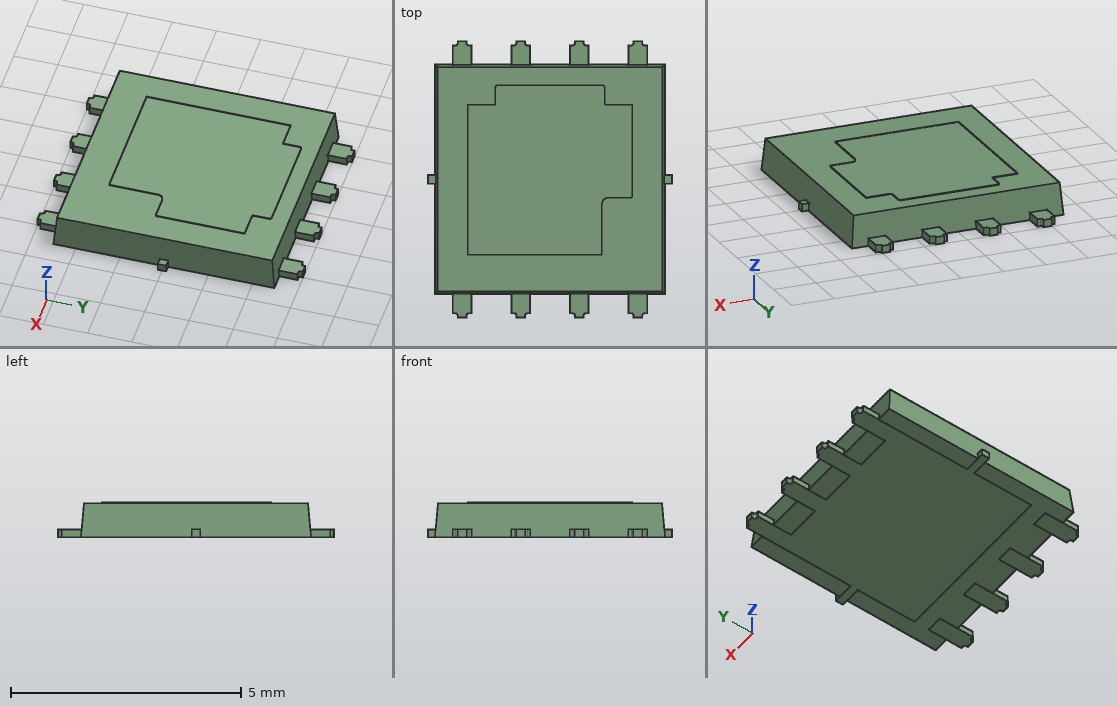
import cadquery as cq


overall_x = 5.3
overall_y = 6.0
overall_z = 0.76

housing_side = 5.0
housing_draft = 5.0
plate_height = 0.02
housing_height = overall_z - plate_height

plate_half_width = 1.79
plate_back_y = 2.045
plate_shoulder_y = 1.62
plate_front_y = -1.64
back_tab_half_width = 1.19
gate_notch_x = 1.13
gate_notch_y = -0.395
gate_notch_radius = 0.145
plate_corner_radius = 0.06
small_corner_radius = 0.035

metal_thickness = 0.175
lead_count = 4
lead_pitch = 1.27
lead_half_width = 0.205
lead_tip_half_width = 0.095
lead_tip_length = 0.09
lead_tip_fillet = 0.05
lead_embed = 0.48
tie_bar_width = 0.19

lead_end_y = overall_y / 2
lead_root_y = housing_side / 2 - lead_embed
lead_centres = [(i - (lead_count - 1) / 2) * lead_pitch for i in range(lead_count)]
pad_half_width = lead_centres[-1] + lead_half_width


def lead(centre_x):
    """Flat lead pointing to +Y, with a narrow tip blended into its shoulders."""
    shoulder_y = lead_end_y - lead_tip_length
    outline = (
        cq.Workplane("XY")
        .moveTo(centre_x - lead_half_width, lead_root_y)
        .lineTo(centre_x + lead_half_width, lead_root_y)
        .lineTo(centre_x + lead_half_width, shoulder_y)
        .lineTo(centre_x + lead_tip_half_width + lead_tip_fillet, shoulder_y)
        .radiusArc((centre_x + lead_tip_half_width, shoulder_y + lead_tip_fillet), lead_tip_fillet)
        .lineTo(centre_x + lead_tip_half_width, lead_end_y)
        .lineTo(centre_x - lead_tip_half_width, lead_end_y)
        .lineTo(centre_x - lead_tip_half_width, shoulder_y + lead_tip_fillet)
        .radiusArc((centre_x - lead_tip_half_width - lead_tip_fillet, shoulder_y), lead_tip_fillet)
        .lineTo(centre_x - lead_half_width, shoulder_y)
        .close()
    )
    return outline.extrude(metal_thickness)


def front_lead(centre_x):
    """Separate source or gate lead, pointing to -Y."""
    return lead(centre_x).mirror("XZ")


def drain_frame():
    """Pad under the housing with the four back leads and a tie bar on each side."""
    pad_length = lead_root_y - plate_front_y
    pad_centre_y = (lead_root_y + plate_front_y) / 2
    frame = (
        cq.Workplane("XY")
        .center(0, pad_centre_y)
        .rect(2 * pad_half_width, pad_length)
        .extrude(metal_thickness)
    )
    tie_bars = cq.Workplane("XY").rect(overall_x, tie_bar_width).extrude(metal_thickness)
    frame = frame.union(tie_bars)
    for centre_x in lead_centres:
        frame = frame.union(lead(centre_x))
    return frame.clean()


def round_corner(plate, x, y, radius):
    """Fillet the upright plate edge at (x, y)."""
    corner = cq.selectors.NearestToPointSelector((x, y, housing_height + plate_height / 2))
    return plate.edges("|Z").edges(corner).fillet(radius)


def cooling_plate():
    """Thin plate on the housing, stepped at the back and notched at the gate corner."""
    outline = [
        (-plate_half_width, plate_front_y),
        (gate_notch_x, plate_front_y),
        (gate_notch_x, gate_notch_y),
        (plate_half_width, gate_notch_y),
        (plate_half_width, plate_shoulder_y),
        (back_tab_half_width, plate_shoulder_y),
        (back_tab_half_width, plate_back_y),
        (-back_tab_half_width, plate_back_y),
        (-back_tab_half_width, plate_shoulder_y),
        (-plate_half_width, plate_shoulder_y),
    ]
    plate = (
        cq.Workplane("XY")
        .workplane(offset=housing_height)
        .polyline(outline)
        .close()
        .extrude(plate_height)
    )

    plate = round_corner(plate, gate_notch_x, gate_notch_y, gate_notch_radius)
    for side in (-1, 1):
        plate = round_corner(plate, side * back_tab_half_width, plate_back_y, plate_corner_radius)
    plate = round_corner(plate, back_tab_half_width, plate_shoulder_y, small_corner_radius)
    plate = round_corner(plate, plate_half_width, gate_notch_y, small_corner_radius)
    return plate


def housing(embedded_metal):
    """Drafted moulding with recesses that match the embedded metal parts."""
    moulding = (
        cq.Workplane("XY")
        .rect(housing_side, housing_side)
        .extrude(housing_height, taper=housing_draft)
    )
    for metal in embedded_metal:
        moulding = moulding.cut(metal)
    return moulding


frame = drain_frame()
front_leads = [front_lead(centre_x) for centre_x in lead_centres]
moulded_housing = housing([frame] + front_leads)
top_plate = cooling_plate()

result = cq.Compound.makeCompound(
    [
        moulded_housing.solids().val(),
        top_plate.solids().val(),
        frame.solids().val(),
        *[one_lead.solids().val() for one_lead in front_leads],
    ]
)